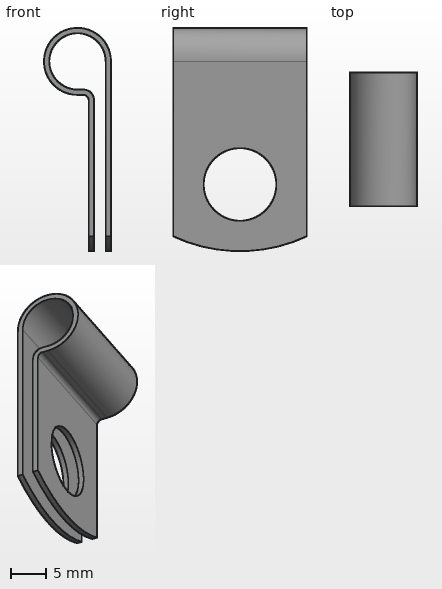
import cadquery as cq
import math

height = 31.78
width = 19.05
loop_diameter = 9.55
thickness = 0.8

leg_gap = 1.62
bend_inner_radius = 0.73
end_sagitta = 2.13

hole_diameter = 10.3
hole_height = 9.5

loop_outer = loop_diameter / 2
loop_inner = loop_outer - thickness
loop_z = height - loop_outer
back_outer_x = loop_outer
back_inner_x = loop_inner
front_inner_x = back_inner_x - leg_gap
front_outer_x = front_inner_x - thickness

bend_outer_radius = bend_inner_radius + thickness
bend_x = front_outer_x - bend_inner_radius
bend_z = loop_z - loop_outer - bend_inner_radius
diagonal = math.sqrt(0.5)


def make_strap():
    """Strip folded into a loop with two parallel legs, centred on Y = 0."""
    profile = (
        cq.Workplane("XZ")
        .moveTo(back_outer_x, 0)
        .lineTo(back_outer_x, loop_z)
        .threePointArc((-loop_outer * diagonal, loop_z + loop_outer * diagonal), (0, loop_z - loop_outer))
        .lineTo(bend_x, loop_z - loop_outer)
        .threePointArc(
            (bend_x + bend_inner_radius * diagonal, bend_z + bend_inner_radius * diagonal),
            (front_outer_x, bend_z),
        )
        .lineTo(front_outer_x, 0)
        .lineTo(front_inner_x, 0)
        .lineTo(front_inner_x, bend_z)
        .threePointArc(
            (bend_x + bend_outer_radius * diagonal, bend_z + bend_outer_radius * diagonal),
            (bend_x, loop_z - loop_inner),
        )
        .lineTo(0, loop_z - loop_inner)
        .threePointArc((-loop_inner * diagonal, loop_z + loop_inner * diagonal), (back_inner_x, loop_z))
        .lineTo(back_inner_x, 0)
        .close()
    )
    return profile.extrude(width / 2, both=True)


def make_side_outline():
    """Solid with the YZ outline of the clip: straight sides and a rounded lower end."""
    return (
        cq.Workplane("YZ")
        .moveTo(-width / 2, height)
        .lineTo(-width / 2, end_sagitta)
        .threePointArc((0, 0), (width / 2, end_sagitta))
        .lineTo(width / 2, height)
        .close()
        .extrude(loop_diameter, both=True)
    )


def make_hole():
    """Cylinder along X that pierces both legs."""
    return (
        cq.Workplane("YZ")
        .center(0, hole_height)
        .circle(hole_diameter / 2)
        .extrude(loop_diameter, both=True)
    )


result = make_strap().intersect(make_side_outline()).cut(make_hole())